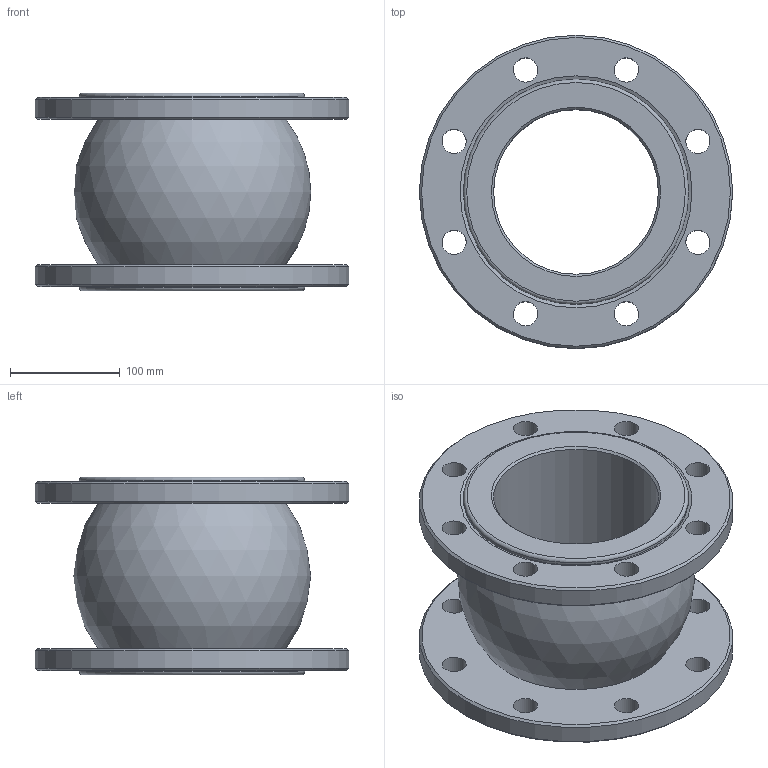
import cadquery as cq
import math

total_length = 180.0
bore_diameter = 150.0
bore_chamfer = 2.0

bellows_radius = 108.0

flange_diameter = 285.0
flange_thickness = 20.0
flange_edge_chamfer = 2.0

face_diameter = 205.0
face_height = 4.0
face_fillet = 3.0
seat_chamfer_width = 3.0
seat_chamfer_angle = 25.0
seat_chamfer_depth = seat_chamfer_width * math.tan(math.radians(seat_chamfer_angle))

bolt_count = 8
bolt_hole_diameter = 22.0
bolt_circle_diameter = 240.0
first_bolt_angle = 360.0 / bolt_count / 2

end_height = total_length / 2
flange_outer_height = end_height - face_height
flange_inner_height = flange_outer_height - flange_thickness


def bellows():
    """Sphere cut flat where it meets the inner sides of the flanges."""
    ball = cq.Workplane("XY").sphere(bellows_radius)
    trim = cq.Workplane("XY").box(flange_diameter, flange_diameter, 2 * flange_inner_height)
    return ball.intersect(trim)


def bolt_holes():
    """Cylinders on the bolt circle, long enough to pass through the flange."""
    return (
        cq.Workplane("XY", origin=(0, 0, flange_inner_height))
        .polarArray(bolt_circle_diameter / 2, first_bolt_angle, 360, bolt_count)
        .circle(bolt_hole_diameter / 2)
        .extrude(flange_thickness)
    )


def sealing_face():
    """Disc through the flange, standing proud of it with a rounded rim."""
    return (
        cq.Workplane("XY", origin=(0, 0, flange_inner_height))
        .circle(face_diameter / 2)
        .extrude(flange_thickness + face_height)
        .faces(">Z")
        .edges()
        .fillet(face_fillet)
    )


def flange_ring():
    """Flange with chamfered outer edges and a shallow-chamfered opening for the sealing face."""
    disc = (
        cq.Workplane("XY", origin=(0, 0, flange_inner_height))
        .circle(flange_diameter / 2)
        .extrude(flange_thickness)
        .edges()
        .chamfer(flange_edge_chamfer)
    )
    opening = (
        cq.Workplane("XY", origin=(0, 0, flange_inner_height))
        .circle(face_diameter / 2)
        .extrude(flange_thickness)
    )
    return (
        disc.cut(opening)
        .edges(cq.selectors.RadiusNthSelector(0))
        .edges(">Z")
        .chamfer(seat_chamfer_width, seat_chamfer_depth)
    )


def flange_end():
    """Upper flange with its bolt holes and sealing face."""
    return flange_ring().cut(bolt_holes()).union(sealing_face())


def bore():
    """Through bore that widens with a chamfer at both ends."""
    bore_radius = bore_diameter / 2
    mouth_radius = bore_radius + bore_chamfer
    return (
        cq.Workplane("XZ")
        .polyline([
            (0, -end_height),
            (mouth_radius, -end_height),
            (bore_radius, -end_height + bore_chamfer),
            (bore_radius, end_height - bore_chamfer),
            (mouth_radius, end_height),
            (0, end_height),
        ])
        .close()
        .revolve(360, (0, 0, 0), (0, 1, 0))
    )


upper_end = flange_end()
lower_end = upper_end.mirror("XY")
result = bellows().union(upper_end).union(lower_end).cut(bore())